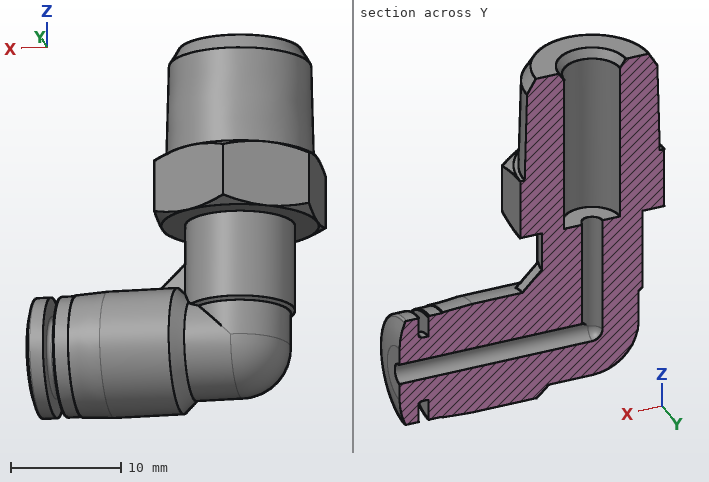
import cadquery as cq
import math


overall_height = 33.75
port_radius = 11.5 / 2
top_z = overall_height - port_radius
thread_chamfer_z = 26.53
hex_top_z = 17.55
hex_bottom_z = 11.5
neck_bottom_z = 3.5
neck_chamfer_height = 0.3

thread_root_radius = 6.7
thread_tip_radius = 6.48
thread_end_radius = 5.6
neck_radius = 10.0 / 2
elbow_radius = 4.62

hex_corner_diameter = 16.5
hex_flats_radius = hex_corner_diameter / 2 * math.cos(math.radians(30))
hex_chamfer_angle = 30

overall_length = 26.25
port_end_x = overall_length - hex_flats_radius
port_cone_start_x = 4.3
port_cone_end_x = 5.5
taper_start_x = 11.88
taper_end_x = 14.85
groove_start_x = 16.27
groove_end_x = 17.18
flange_end_x = 18.6

taper_end_radius = 5.57
collar_radius = 11.0 / 2
groove_radius = 6.75 / 2
groove_fillet = 0.37
collar_edge_chamfer = 0.1
flange_edge_fillet = 0.2
dome_face_radius = 2.7
dome_mid_radius = 4.32
dome_mid_setback = 0.2

stem_bore_diameter = 5.5
stem_bore_mouth_diameter = 6.6
stem_bore_mouth_depth = 0.85
stem_bore_floor_z = hex_bottom_z
passage_radius = 2.0 / 2

web_thickness = 2.35
web_reach = 12.7


def make_stem():
    """Neck and tapered thread, revolved about Z."""
    return (
        cq.Workplane("XZ")
        .moveTo(0, 0)
        .lineTo(elbow_radius, 0)
        .lineTo(elbow_radius, neck_bottom_z - neck_chamfer_height)
        .lineTo(neck_radius, neck_bottom_z)
        .lineTo(neck_radius, hex_top_z)
        .lineTo(thread_root_radius, hex_top_z)
        .lineTo(thread_tip_radius, thread_chamfer_z)
        .lineTo(thread_end_radius, top_z)
        .lineTo(0, top_z)
        .close()
        .revolve(360, (0, 0), (0, 1))
    )


def make_hex():
    """Hexagon with flats facing +X and -X and conical chamfers at both ends."""
    corner_radius = hex_corner_diameter / 2
    drop = (corner_radius - hex_flats_radius) * math.tan(math.radians(hex_chamfer_angle))
    prism = (
        cq.Workplane("XY", origin=(0, 0, hex_bottom_z))
        .transformed(rotate=(0, 0, 30))
        .polygon(6, hex_corner_diameter)
        .extrude(hex_top_z - hex_bottom_z)
    )
    envelope = (
        cq.Workplane("XZ")
        .moveTo(0, hex_bottom_z)
        .lineTo(hex_flats_radius, hex_bottom_z)
        .lineTo(corner_radius, hex_bottom_z + drop)
        .lineTo(corner_radius, hex_top_z - drop)
        .lineTo(hex_flats_radius, hex_top_z)
        .lineTo(0, hex_top_z)
        .close()
        .revolve(360, (0, 0), (0, 1))
    )
    return prism.intersect(envelope)


def make_port():
    """Elbow arm, push-in body and domed release collar, revolved about X."""
    return (
        cq.Workplane("XZ")
        .moveTo(0, 0)
        .lineTo(0, elbow_radius)
        .lineTo(port_cone_start_x, elbow_radius)
        .lineTo(port_cone_end_x, port_radius)
        .lineTo(taper_start_x, port_radius)
        .lineTo(taper_end_x, taper_end_radius)
        .lineTo(taper_end_x, collar_radius)
        .lineTo(groove_start_x - collar_edge_chamfer, collar_radius)
        .lineTo(groove_start_x, collar_radius - collar_edge_chamfer)
        .lineTo(groove_start_x, groove_radius)
        .lineTo(groove_end_x - groove_fillet, groove_radius)
        .radiusArc((groove_end_x, groove_radius + groove_fillet), -groove_fillet)
        .lineTo(groove_end_x, collar_radius)
        .lineTo(flange_end_x - flange_edge_fillet, collar_radius)
        .radiusArc((flange_end_x, collar_radius - flange_edge_fillet), flange_edge_fillet)
        .threePointArc(
            (port_end_x - dome_mid_setback, dome_mid_radius),
            (port_end_x, dome_face_radius),
        )
        .lineTo(port_end_x, 0)
        .close()
        .revolve(360, (0, 0), (1, 0))
    )


def make_web():
    """45 degree web filling the inner corner between the neck and the port."""
    return (
        cq.Workplane("XZ")
        .moveTo(0, 0)
        .lineTo(web_reach, 0)
        .lineTo(0, web_reach)
        .close()
        .extrude(web_thickness / 2, both=True)
    )


def make_bores():
    """Countersunk stem bore and the narrow passage turning into the port."""
    stem_bore = (
        cq.Workplane("XY", origin=(0, 0, stem_bore_floor_z))
        .circle(stem_bore_diameter / 2)
        .extrude(top_z - stem_bore_floor_z)
    )
    mouth = (
        cq.Workplane("XY", origin=(0, 0, top_z))
        .circle(stem_bore_mouth_diameter / 2)
        .workplane(offset=-stem_bore_mouth_depth)
        .circle(stem_bore_diameter / 2)
        .loft()
    )
    down_passage = cq.Workplane("XY").circle(passage_radius).extrude(stem_bore_floor_z)
    port_passage = cq.Workplane("YZ").circle(passage_radius).extrude(port_end_x)
    corner = cq.Workplane("XY").sphere(passage_radius)
    return stem_bore.union(mouth).union(down_passage).union(port_passage).union(corner)


elbow_ball = cq.Workplane("XY").sphere(elbow_radius)
body = make_stem().union(make_hex()).union(make_port()).union(elbow_ball).union(make_web())
result = body.cut(make_bores())